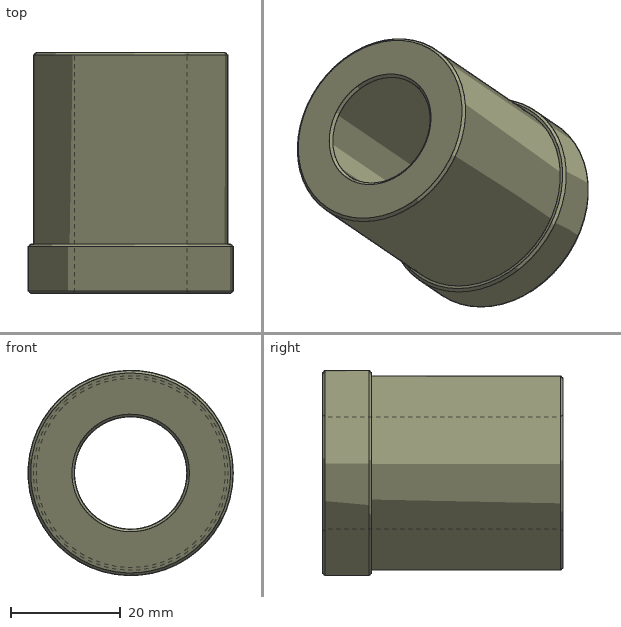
import cadquery as cq

total_length = 44.0
flange_diameter = 37.5
flange_length = 9.0
body_diameter = 35.5
bore_diameter = 20.5
edge_chamfer = 0.5


def cylinder_along_y(diameter, length):
    """Cylinder that starts at Y = 0 and runs toward +Y."""
    return cq.Workplane("XZ").circle(diameter / 2).extrude(-length)


flange = cylinder_along_y(flange_diameter, flange_length).edges().chamfer(edge_chamfer)
body = cylinder_along_y(body_diameter, total_length).edges(">Y").chamfer(edge_chamfer)

bore = cylinder_along_y(bore_diameter, total_length)
bushing = flange.union(body).cut(bore)
bore_mouths = bushing.edges(cq.selectors.RadiusNthSelector(0))
result = bore_mouths.chamfer(edge_chamfer)